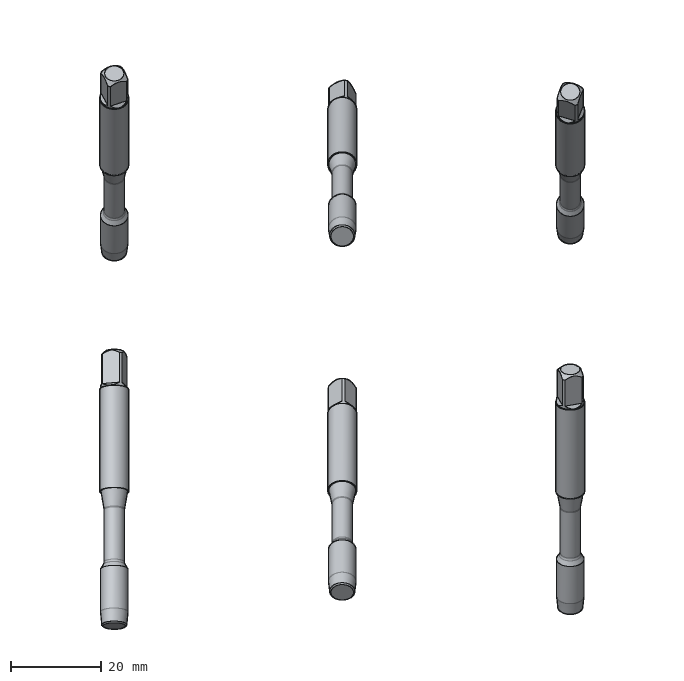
import cadquery as cq
import math

overall_length = 63.6
tip_chamfer_height = 0.3
lead_top = 3.25
thread_top = 13.15
neck_top = 27.15
shank_bottom = 31.2
shank_top = 54.85
square_bottom = 55.72

tip_diameter = 5.0
lead_bottom_diameter = 5.6
thread_diameter = 6.15
neck_diameter = 4.57
shank_diameter = 6.48
drive_diameter = 6.22
drive_end_diameter = 4.25

neck_fillet_radius = 1.2
flare_angle = math.radians(30)
shank_cone_angle = math.radians(9.5)

flat_count = 4
square_width = 4.85
end_cone_height = 1.0
shoulder_chamfer_angle = math.radians(45)
runout_angle = math.radians(45)


def revolve_about_axis(profile):
    """Close a (radius, height) profile and turn it about Z."""
    return profile.close().revolve(360, (0, 0, 0), (0, 1, 0))


def fillet_run(angle):
    """Radius gained and height used by a neck fillet that turns through the angle."""
    gain = neck_fillet_radius * (1 - math.cos(angle))
    height = neck_fillet_radius * math.sin(angle)
    return gain, height


def make_cutting_head():
    """Plain thread cylinder with a tapered lead and a chamfered tip."""
    profile = (
        cq.Workplane("XZ")
        .moveTo(0, 0)
        .lineTo(tip_diameter / 2, 0)
        .lineTo(lead_bottom_diameter / 2, tip_chamfer_height)
        .lineTo(thread_diameter / 2, lead_top)
        .lineTo(thread_diameter / 2, thread_top)
        .lineTo(0, thread_top)
    )
    return revolve_about_axis(profile)


def make_turned_shank():
    """Round blank of the shank: flare, neck, cone, shank cylinder and drive end."""
    neck_radius = neck_diameter / 2
    shank_radius = shank_diameter / 2
    drive_radius = drive_diameter / 2

    flare_gain, flare_fillet_height = fillet_run(flare_angle)
    flare_fillet_radius = neck_radius + flare_gain
    flare_height = (thread_diameter / 2 - flare_fillet_radius) / math.tan(flare_angle)
    flare_top = thread_top + flare_height
    neck_bottom = flare_top + flare_fillet_height

    cone_gain, cone_fillet_height = fillet_run(shank_cone_angle)
    cone_bottom_radius = neck_radius + cone_gain
    cone_top_radius = cone_bottom_radius + (shank_bottom - neck_top) * math.tan(shank_cone_angle)

    shoulder_height = (shank_radius - drive_radius) / math.tan(shoulder_chamfer_angle)

    profile = (
        cq.Workplane("XZ")
        .moveTo(0, thread_top)
        .lineTo(thread_diameter / 2, thread_top)
        .lineTo(flare_fillet_radius, flare_top)
        .radiusArc((neck_radius, neck_bottom), neck_fillet_radius)
        .lineTo(neck_radius, neck_top - cone_fillet_height)
        .radiusArc((cone_bottom_radius, neck_top), neck_fillet_radius)
        .lineTo(cone_top_radius, shank_bottom)
        .lineTo(shank_radius, shank_bottom)
        .lineTo(shank_radius, shank_top)
        .lineTo(drive_radius, shank_top + shoulder_height)
        .lineTo(drive_radius, overall_length - end_cone_height)
        .lineTo(drive_end_diameter / 2, overall_length)
        .lineTo(0, overall_length)
    )
    return revolve_about_axis(profile)


def make_flat_cutter():
    """Block that mills one flat on the +X side and runs out at a slope at its lower end."""
    inner = square_width / 2
    outer = shank_diameter
    runout_drop = (outer - inner) / math.tan(runout_angle)
    return (
        cq.Workplane("XZ")
        .moveTo(inner, square_bottom)
        .lineTo(inner, overall_length)
        .lineTo(outer, overall_length)
        .lineTo(outer, square_bottom - runout_drop)
        .close()
        .extrude(shank_diameter, both=True)
    )


cutting_head = make_cutting_head()

shank = make_turned_shank()
for flat in range(flat_count):
    turn = 360 / flat_count * flat
    shank = shank.cut(make_flat_cutter().rotate((0, 0, 0), (0, 0, 1), turn))

result = cq.Compound.makeCompound([cutting_head.val(), shank.val()])